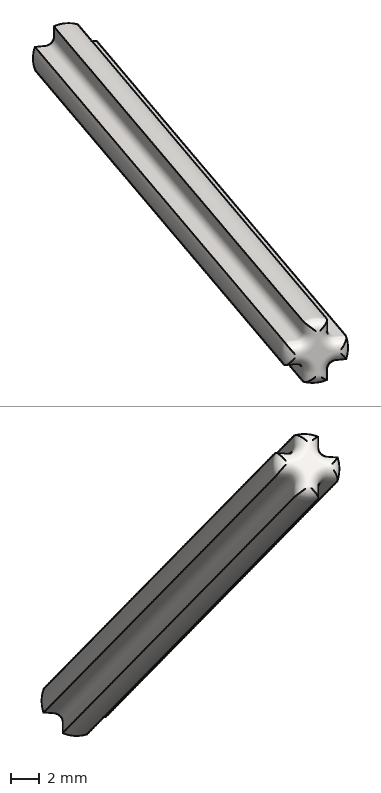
import cadquery as cq

length = 64.0
tip_diameter = 4.8
arm_width = 1.7
inner_corner_radius = 0.6
end_rounding = 0.8


def arm_bar(angle):
    """Full-length flat bar forming two opposite arms."""
    bar = cq.Workplane("YZ").rect(tip_diameter, arm_width).extrude(length / 2, both=True)
    return bar.rotate((0, 0, 0), (1, 0, 0), angle)


def cross_axle():
    """Cross-shaped axle along X with arm tips curved to a common circle."""
    cross = arm_bar(0).union(arm_bar(90))
    zone_side = 1.2 * arm_width
    inner_edges = cq.selectors.BoxSelector(
        (-length, -zone_side / 2, -zone_side / 2),
        (length, zone_side / 2, zone_side / 2),
    )
    cross = cross.edges("|X").edges(inner_edges).fillet(inner_corner_radius)
    envelope = cq.Workplane("YZ").circle(tip_diameter / 2).extrude(length / 2, both=True)
    return cross.intersect(envelope)


result = cross_axle().faces("<X or >X").edges().fillet(end_rounding)